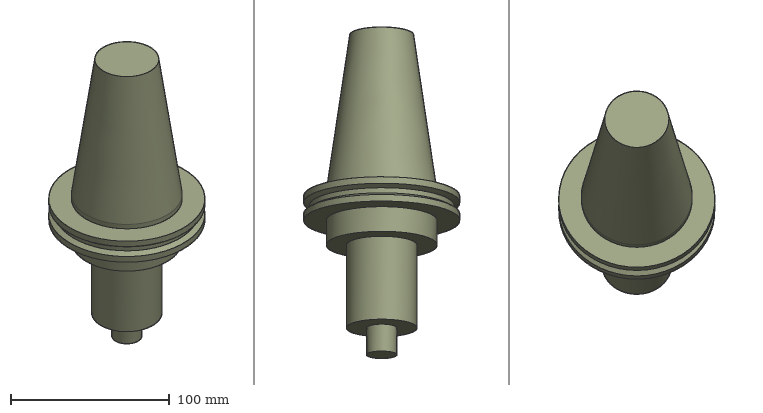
import cadquery as cq

total_height = 208.0
pilot_top = 17.5
shank_top = 71.3
flange_bottom = 87.3
flange_top = 103.1
taper_start = 106.5

pilot_diameter = 19.1
shank_diameter = 44.5
collar_diameter = 69.9
flange_diameter = 98.4
taper_top_diameter = 40.3

groove_floor_diameter = 91.3
groove_floor_width = 3.3
groove_mouth_width = 7.3

groove_middle = (flange_bottom + flange_top) / 2
half_floor = groove_floor_width / 2
half_mouth = groove_mouth_width / 2

profile = [
    (0, 0),
    (pilot_diameter / 2, 0),
    (pilot_diameter / 2, pilot_top),
    (shank_diameter / 2, pilot_top),
    (shank_diameter / 2, shank_top),
    (collar_diameter / 2, shank_top),
    (collar_diameter / 2, flange_bottom),
    (flange_diameter / 2, flange_bottom),
    (flange_diameter / 2, groove_middle - half_mouth),
    (groove_floor_diameter / 2, groove_middle - half_floor),
    (groove_floor_diameter / 2, groove_middle + half_floor),
    (flange_diameter / 2, groove_middle + half_mouth),
    (flange_diameter / 2, flange_top),
    (collar_diameter / 2, flange_top),
    (collar_diameter / 2, taper_start),
    (taper_top_diameter / 2, total_height),
    (0, total_height),
]

result = cq.Workplane("XZ").polyline(profile).close().revolve(360, (0, 0), (0, 1))